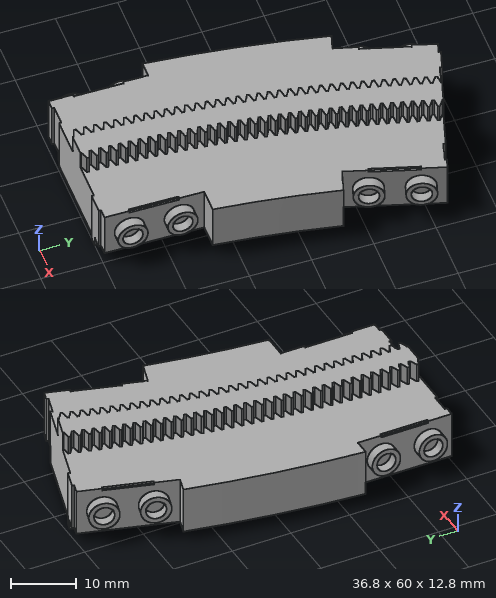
import cadquery as cq
import math

bend_radius = 200.95
tooth_count = 36
tooth_angle = math.radians(0.45)
bend_angle = tooth_count * tooth_angle

foot_height = 1.6
body_height = 8.0
rack_height = 3.2
body_top = foot_height + body_height

end_width = 25.55
middle_width = 31.9
end_length = 16.0

key_depth = 0.35
key_width = 3.25
key_inset = 1.6

foot_width = 18.5

stud_diameter = 4.8
stud_bore = 3.2
stud_length = 1.7
stud_pitch = end_length / 2
first_stud = stud_pitch / 2

notch_depth = 0.35

rack_root_width = 3.6
tooth_depth = 1.25
pressure_angle = math.radians(20)


def bend_point(radius, angle):
    """Point at the given distance and angle from the bend axis."""
    return (bend_radius - radius * math.cos(angle), radius * math.sin(angle))


def to_far_end(point):
    """Carry a point of the near end to the matching point of the far end."""
    x, y = point
    cosine = math.cos(bend_angle)
    sine = math.sin(bend_angle)
    across = -x - bend_radius
    return (bend_radius + across * cosine - y * sine, -across * sine - y * cosine)


def solid_to_far_end(solid):
    """Carry a near-end solid to the far end: half a turn, then along the bend."""
    turned = solid.rotate((0, 0, 0), (0, 0, 1), 180)
    return turned.rotate((bend_radius, 0, 0), (bend_radius, 0, 1), -math.degrees(bend_angle))


def make_body():
    """Curved wide middle between two narrower straight ends."""
    half_end = end_width / 2
    outer_radius = bend_radius + middle_width / 2
    inner_radius = bend_radius - middle_width / 2
    outer_start = math.asin(end_length / outer_radius)
    inner_start = math.asin(end_length / inner_radius)
    near_end = [
        (half_end, end_length),
        (half_end, 0),
        (-half_end, 0),
        (-half_end, end_length),
    ]
    far_end = [to_far_end(point) for point in near_end]
    outer_near = bend_point(outer_radius, outer_start)
    outer_far = bend_point(outer_radius, bend_angle - outer_start)
    inner_near = bend_point(inner_radius, inner_start)
    inner_far = bend_point(inner_radius, bend_angle - inner_start)
    return (
        cq.Workplane("XY", origin=(0, 0, foot_height))
        .polyline([inner_near] + near_end + [outer_near])
        .threePointArc(bend_point(outer_radius, bend_angle / 2), outer_far)
        .polyline(far_end + [inner_far], includeCurrent=True)
        .threePointArc(bend_point(inner_radius, bend_angle / 2), inner_near)
        .close()
        .extrude(body_height)
    )


def make_rack():
    """Ridge with trapezoidal teeth on both sides, ending at tooth gaps."""
    root_half = rack_root_width / 2
    tip_half = root_half + tooth_depth
    flank_run = tooth_depth * math.tan(pressure_angle)

    def side_points(direction):
        """Tooth profile on the outer (1) or inner (-1) side of the bend."""
        root_radius = bend_radius + direction * root_half
        tip_radius = bend_radius + direction * tip_half
        half_pitch = tooth_angle * bend_radius / 2
        root_offset = (half_pitch + flank_run) / 2 / bend_radius
        tip_offset = (half_pitch - flank_run) / 2 / bend_radius
        points = [bend_point(root_radius, 0)]
        for tooth in range(tooth_count):
            middle = (tooth + 0.5) * tooth_angle
            points.append(bend_point(root_radius, middle - root_offset))
            points.append(bend_point(tip_radius, middle - tip_offset))
            points.append(bend_point(tip_radius, middle + tip_offset))
            points.append(bend_point(root_radius, middle + root_offset))
        points.append(bend_point(root_radius, bend_angle))
        return points

    outline = side_points(1) + side_points(-1)[::-1]
    return (
        cq.Workplane("XY", origin=(0, 0, foot_height))
        .polyline(outline)
        .close()
        .extrude(body_height + rack_height)
    )


def box_between(x_range, y_range, z_range):
    """Axis-aligned box spanning the three ranges."""
    (x0, x1), (y0, y1), (z0, z1) = x_range, y_range, z_range
    return cq.Workplane("XY").box(x1 - x0, y1 - y0, z1 - z0, centered=False).translate((x0, y0, z0))


def make_end_additions():
    """Foot, projecting key and studs of the near end."""
    half_foot = foot_width / 2
    key_outer = end_width / 2 - key_inset
    key_inner = key_outer - key_width
    foot = box_between((-half_foot, half_foot), (0, end_length), (0, body_top))
    key = box_between((key_inner, key_outer), (-key_depth, key_depth), (foot_height, body_top))
    foot_key = box_between((key_inner, half_foot), (-key_depth, key_depth), (0, body_top))
    additions = foot.union(key).union(foot_key)
    stud_z = foot_height + body_height / 2
    for side in (-1, 1):
        for y in (first_stud, first_stud + stud_pitch):
            stud = (
                cq.Workplane("YZ", origin=(side * end_width / 2, y, stud_z))
                .circle(stud_diameter / 2)
                .circle(stud_bore / 2)
                .extrude(side * stud_length)
            )
            additions = additions.union(stud)
    return additions


def make_end_cuts():
    """Key slot in the near end face and notches along its upper side edges."""
    half_end = end_width / 2
    slot_outer = -half_end + key_inset
    cuts = box_between((slot_outer, slot_outer + key_width), (-key_depth, key_depth), (0, body_top))
    notch_span = (first_stud, first_stud + stud_pitch)
    notch_heights = (body_top - notch_depth, body_top)
    for edges in ((-half_end, -half_end + notch_depth), (half_end - notch_depth, half_end)):
        cuts = cuts.union(box_between(edges, notch_span, notch_heights))
    return cuts


additions = make_end_additions()
cuts = make_end_cuts()
result = make_body().union(make_rack())
for feature in (additions, solid_to_far_end(additions)):
    result = result.union(feature)
for feature in (cuts, solid_to_far_end(cuts)):
    result = result.cut(feature)